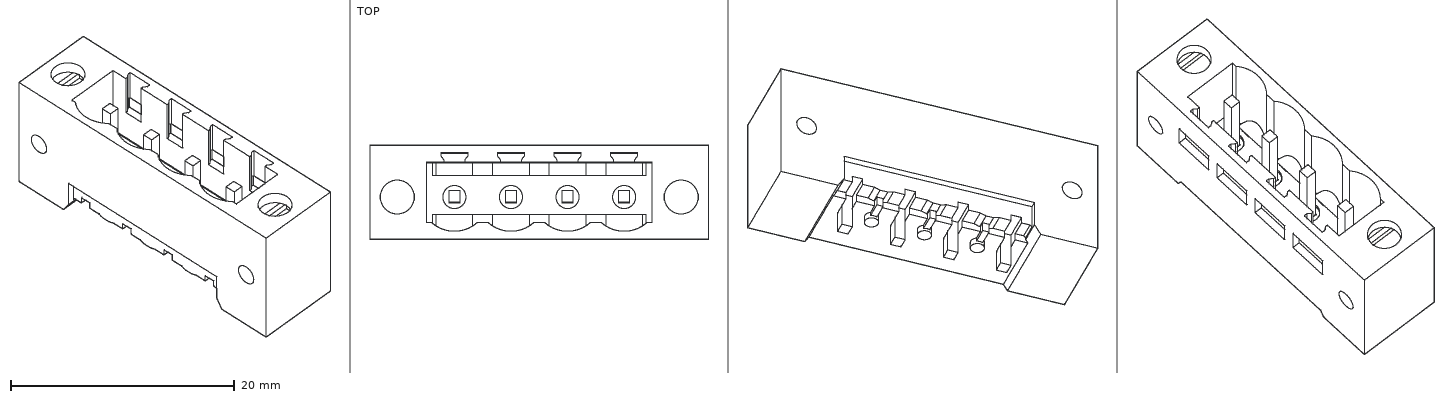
import cadquery as cq
import math


length = 30.32
width = 8.43
height = 11.98
front_y = -width / 2
back_y = width / 2

pin_count = 4
pitch = 5.05
pin_width = 1.0
pin_back_y = 0.15
tip_depth = 1.0
tail_depth = 1.1
tip_front_y = pin_back_y - tip_depth
tail_front_y = pin_back_y - tail_depth
pin_bottom = -1.52
pin_top = 10.95
pin_xs = [(i - (pin_count - 1) / 2) * pitch for i in range(pin_count)]
gap_xs = [x + pitch / 2 for x in pin_xs[:-1]]

axis_y = -0.42

cavity_length = 20.2
cavity_width = 5.4
cavity_front_y = -cavity_width / 2
cavity_back_y = cavity_width / 2
floor_z = 4.25
scoop_radius = 3.05
ledge_depth = 0.1
ledge_height = 0.6
ring_radius = 1.03
ring_depth = 0.3
ring_floor_z = floor_z - ring_depth

bar_front_y = -1.97
bar_back_y = 1.52
well_z = 2.88
well_end = 1.95
well_back_y = cavity_back_y - ledge_depth
hump_radius = 1.52
hump_round_half = 1.25
hump_base_half = 1.65
hump_flank_height = 0.6

slot_back_y = 3.55
slot_wide_y = 3.25
slot_narrow_y = 2.9
slot_wide = 2.4
slot_narrow = 1.88
slot_floor_z = 7.88
window_bottom_z = 6.67
window_top_z = 8.9
window_width = 3.95
window_front_y = 3.45

flange_x = 12.7
screw_radius = 1.52
screw_depth = 1.12
cross_radius = 0.95
cross_z = 6.03
nut_length = 6.25
nut_width = 4.0
nut_floor_z = 9.1
nut_groove_width = 3.05
nut_groove_depth = 0.6

leg_gap = 18.2
leg_gap_bottom = 19.4
leg_chamfer_z = 0.97
floor_bottom_z = 0.65
recess_depth = 0.65
recess_top_z = 3.55
wall_back_y = -1.97
wall_bottom_z = 1.35
tooth_height = 0.18
tooth_z = wall_bottom_z - tooth_height
tooth_top = 1.82
tooth_tip = 0.73
channel_top_z = 2.0

foot_radius = 0.65
rib_width = 0.6
rib_bottom_z = 0.27
rib_front_y = -2.58


def box(x_range, y_range, z_range):
    """Axis-aligned box from its limits along X, Y and Z."""
    (x0, x1), (y0, y1), (z0, z1) = x_range, y_range, z_range
    return cq.Workplane("XY").box(x1 - x0, y1 - y0, z1 - z0, centered=False).translate((x0, y0, z0))


def span(center, size):
    """Limits of a stretch of the given size about its center."""
    return (center - size / 2, center + size / 2)


def cylinder(x, y, radius, z0, z1):
    """Upright cylinder between two heights."""
    return cq.Workplane("XY", origin=(x, y, z0)).circle(radius).extrude(z1 - z0)


def along_y(outline, y0, y1):
    """Prism along Y from a closed outline of (x, z) points."""
    return cq.Workplane("XZ", origin=(0, y0, 0)).polyline(outline).close().extrude(y0 - y1)


def cavity():
    """Plug cavity whose front wall is scooped out around each pin."""
    opening = box(span(0, cavity_length), (cavity_front_y, cavity_back_y), (floor_z, height))
    scoop_zone = box(span(0, length), (front_y, cavity_front_y), (floor_z, height))
    for x in pin_xs:
        scoop = cylinder(x, axis_y, scoop_radius, floor_z, height)
        opening = opening.union(scoop.intersect(scoop_zone))
    ledge_z = (floor_z, floor_z + ledge_height)
    return opening.cut(box(span(0, cavity_length), (well_back_y, cavity_back_y), ledge_z))


def hump(x):
    """Rounded rise along Y between two steep flanks, standing on the well floor."""
    round_z = well_z + hump_flank_height
    crest_z = round_z + hump_radius - math.sqrt(hump_radius**2 - hump_round_half**2)
    return (
        cq.Workplane("XZ", origin=(x, back_y, 0))
        .moveTo(-hump_base_half, well_z)
        .lineTo(-hump_round_half, round_z)
        .threePointArc((0, crest_z), (hump_round_half, round_z))
        .lineTo(hump_base_half, well_z)
        .close()
        .extrude(width)
    )


def wells():
    """Two sunken bands of the cavity floor with a hump in line with each pin."""
    x_range = (pin_xs[0] - well_end, pin_xs[-1] + well_end)
    z_range = (well_z, floor_z)
    scoop_zone = box(x_range, (front_y, cavity_front_y), z_range)
    bands = box(x_range, (cavity_front_y, bar_front_y), z_range)
    bands = bands.union(box(x_range, (bar_back_y, well_back_y), z_range))
    for x in pin_xs:
        scoop = cylinder(x, axis_y, scoop_radius, *z_range)
        bands = bands.union(scoop.intersect(scoop_zone))
    for x in pin_xs:
        bands = bands.cut(hump(x))
    return bands


def coding_slot(x):
    """Dovetail slot in the back wall, with a window through the wall at its foot."""
    outline = [
        (x - slot_narrow / 2, cavity_back_y),
        (x - slot_narrow / 2, slot_narrow_y),
        (x - slot_wide / 2, slot_wide_y),
        (x - slot_wide / 2, slot_back_y),
        (x + slot_wide / 2, slot_back_y),
        (x + slot_wide / 2, slot_wide_y),
        (x + slot_narrow / 2, slot_narrow_y),
        (x + slot_narrow / 2, cavity_back_y),
    ]
    slot = cq.Workplane("XY", origin=(0, 0, slot_floor_z)).polyline(outline).close()
    slot = slot.extrude(height - slot_floor_z)
    window = box(span(x, window_width), (window_front_y, back_y), (window_bottom_z, window_top_z))
    return slot.union(window)


def flange_holes(x):
    """Screw bore over a stepped nut pocket, and a cross hole through the width."""
    bore = cylinder(x, axis_y, screw_radius, height - screw_depth, height)
    nut_y = span(axis_y, nut_length)
    pocket = box(span(x, nut_width), nut_y, (nut_floor_z, height - screw_depth))
    groove = box(span(x, nut_groove_width), nut_y, (nut_floor_z - nut_groove_depth, nut_floor_z))
    cross_hole = cq.Workplane("XZ", origin=(x, back_y, cross_z)).circle(cross_radius).extrude(width)
    return bore.union(pocket).union(groove).union(cross_hole)


def underside_gap():
    """Space between the two end legs, below the floor and the recessed front wall."""
    slope = (leg_gap_bottom - leg_gap) / 2 / leg_chamfer_z
    floor_half = leg_gap_bottom / 2 - slope * floor_bottom_z
    below_floor = along_y(
        [
            (-leg_gap_bottom / 2, 0),
            (-floor_half, floor_bottom_z),
            (floor_half, floor_bottom_z),
            (leg_gap_bottom / 2, 0),
        ],
        front_y,
        back_y,
    )
    edge = [(-leg_gap_bottom / 2, 0), (-leg_gap / 2, leg_chamfer_z), (-leg_gap / 2, tooth_z)]
    edge.append((-leg_gap / 2 + tooth_height, wall_bottom_z))
    for x in gap_xs:
        edge += [
            (x - tooth_top / 2, wall_bottom_z),
            (x - tooth_tip / 2, tooth_z),
            (x + tooth_tip / 2, tooth_z),
            (x + tooth_top / 2, wall_bottom_z),
        ]
    edge.append((leg_gap / 2 - tooth_height, wall_bottom_z))
    edge += [(leg_gap / 2, tooth_z), (leg_gap / 2, leg_chamfer_z), (leg_gap_bottom / 2, 0)]
    below_wall = along_y(edge, front_y, wall_back_y)
    recess = box(span(0, leg_gap), (front_y, front_y + recess_depth), (leg_chamfer_z, recess_top_z))
    return below_floor.union(below_wall).union(recess)


def pin_passage(x):
    """Rectangular hole for a pin, the ring around its top and the channel from the front to its tail."""
    hole = box(span(x, pin_width), (tail_front_y, pin_back_y), (0, ring_floor_z))
    channel = box(span(x, pin_width), (front_y, tail_front_y), (0, channel_top_z))
    ring = cylinder(x, axis_y, ring_radius, ring_floor_z, floor_z)
    return hole.union(channel).union(ring)


def standoff(x):
    """Round foot under the floor, tied to the front wall by a rib."""
    foot = cylinder(x, axis_y, foot_radius, 0, floor_bottom_z)
    rib = box(span(x, rib_width), (rib_front_y, axis_y), (rib_bottom_z, tooth_z))
    return foot.union(rib)


def build_housing():
    """Block with its cavity, holes and underside cut away and its feet added."""
    body = box(span(0, length), (front_y, back_y), (0, height))
    body = body.cut(cavity()).cut(wells()).cut(underside_gap())
    for x in pin_xs:
        body = body.cut(coding_slot(x)).cut(pin_passage(x))
    for x in (-flange_x, flange_x):
        body = body.cut(flange_holes(x))
    for x in gap_xs:
        body = body.union(standoff(x))
    return body


def build_pin(x):
    """Square contact tip on a slightly deeper tail that fills its hole."""
    tail = box(span(x, pin_width), (tail_front_y, pin_back_y), (pin_bottom, ring_floor_z))
    tip = box(span(x, pin_width), (tip_front_y, pin_back_y), (ring_floor_z, pin_top))
    return tail.union(tip)


housing = build_housing()
pins = [build_pin(x) for x in pin_xs]
result = cq.Compound.makeCompound([housing.val(), *[pin.val() for pin in pins]])